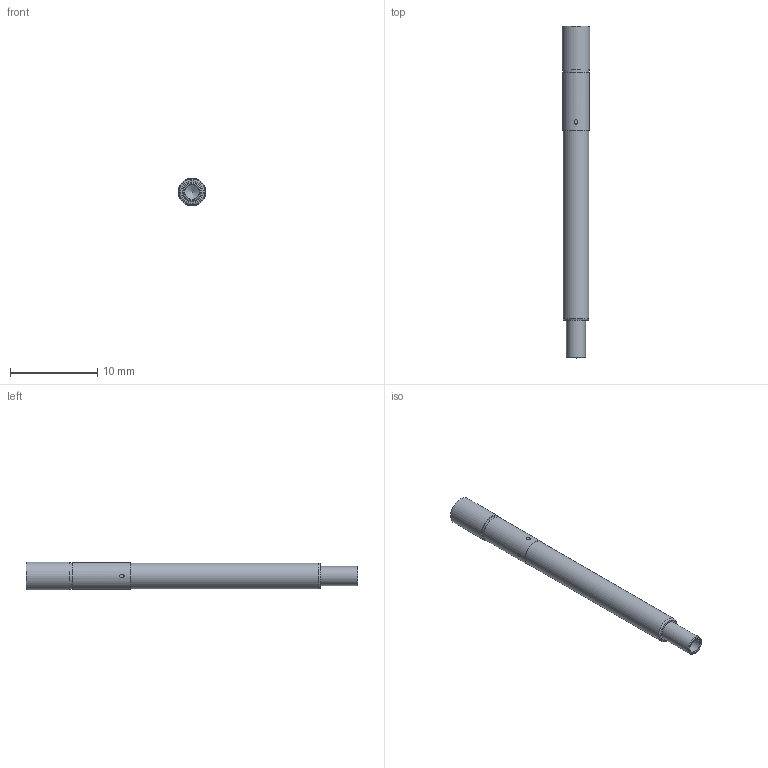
import cadquery as cq

total_length = 38.1
back_y = total_length / 2
front_y = -total_length / 2

head_diameter = 3.2
neck_diameter = 3.0
sleeve_diameter = 3.06
body_diameter = 2.95
stub_diameter = 2.2
bore_diameter = 1.65

head_length = 5.0
neck_length = 0.3
sleeve_length = 6.7
stub_length = 4.32
shoulder_fillet = 0.18
stub_tip_chamfer = 0.08

bore_mouth_chamfer = 0.05
bore_depth = 4.0
bore_cone_height = 0.5

crimp_count = 4
crimp_sphere_radius = 0.8
crimp_depth = 0.04
crimp_to_sleeve_front = 1.0

neck_y = back_y - head_length
sleeve_back_y = neck_y - neck_length
sleeve_front_y = sleeve_back_y - sleeve_length
body_front_y = front_y + stub_length


def revolve_about_y(outline):
    """Close a half profile on the axis and spin it a full turn."""
    return outline.close().revolve(360, (0, 0, 0), (0, 1, 0))


def make_turned_body():
    """Head, neck, sleeve, body and stub as one stepped profile."""
    outline = (
        cq.Workplane("XY")
        .moveTo(0, back_y)
        .lineTo(head_diameter / 2, back_y)
        .lineTo(head_diameter / 2, neck_y)
        .lineTo(neck_diameter / 2, neck_y)
        .lineTo(neck_diameter / 2, sleeve_back_y)
        .lineTo(sleeve_diameter / 2, sleeve_back_y)
        .lineTo(sleeve_diameter / 2, sleeve_front_y)
        .lineTo(body_diameter / 2, sleeve_front_y)
        .lineTo(body_diameter / 2, body_front_y + shoulder_fillet)
        .radiusArc((body_diameter / 2 - shoulder_fillet, body_front_y), shoulder_fillet)
        .lineTo(stub_diameter / 2, body_front_y)
        .lineTo(stub_diameter / 2, front_y + stub_tip_chamfer)
        .lineTo(stub_diameter / 2 - stub_tip_chamfer, front_y)
        .lineTo(0, front_y)
    )
    return revolve_about_y(outline)


def make_bore():
    """Bore that opens at the stub end and closes in a cone."""
    bore_end_y = front_y + bore_depth
    outline = (
        cq.Workplane("XY")
        .moveTo(0, front_y)
        .lineTo(bore_diameter / 2 + bore_mouth_chamfer, front_y)
        .lineTo(bore_diameter / 2, front_y + bore_mouth_chamfer)
        .lineTo(bore_diameter / 2, bore_end_y)
        .lineTo(0, bore_end_y + bore_cone_height)
    )
    return revolve_about_y(outline)


def make_crimp_mark(angle):
    """Sphere that dents the sleeve at the given angle about Y."""
    center_radius = sleeve_diameter / 2 + crimp_sphere_radius - crimp_depth
    center_y = sleeve_front_y + crimp_to_sleeve_front
    return (
        cq.Workplane("XY")
        .sphere(crimp_sphere_radius)
        .translate((center_radius, center_y, 0))
        .rotate((0, 0, 0), (0, 1, 0), angle)
    )


result = make_turned_body().cut(make_bore())
for index in range(crimp_count):
    result = result.cut(make_crimp_mark(index * 360 / crimp_count))